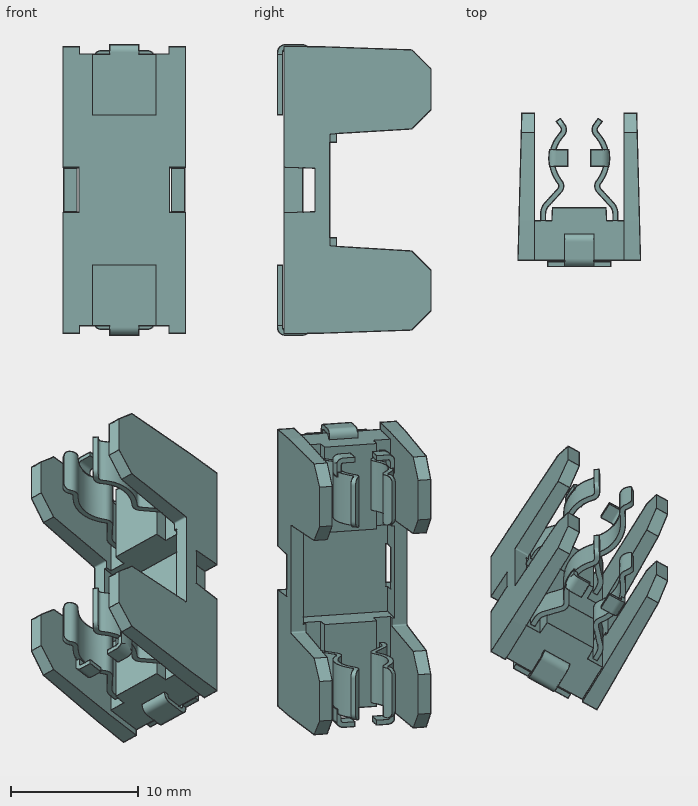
import math

import cadquery as cq


housing_width = 9.6
wall_top_width = 9.0
housing_depth = 11.5
housing_half_length = 11.2
wall_inner_x = 3.48
end_straight_depth = 3.1
outer_lean = math.radians(2.0)
inner_lean = math.radians(3.5)
corner_chamfer = 1.5
wing_inner_z = 4.37
middle_wall_depth = 3.6
wing_root_radius = 0.13

base_half_length = 10.63
base_depth = end_straight_depth
block_inner_z = 3.72
block_depth = 4.12
block_half_width_top = 2.1
block_half_width_foot = 2.15

floor_depth = 1.48
cavity_half_width = 3.69
window_depth = 2.42
window_inner_x = 3.55
window_half_length_outer = 1.78
window_half_length_inner = 1.69

sheet = 0.4
bend_radius = 0.6
pad_gap = 0.1
pad_outer_y = -(pad_gap + sheet)
pad_half_width = 2.475
pad_inner_z = 5.88
pad_outer_z = 10.58
strap_half_width = 1.15
strap_outer_z = 11.36
strap_end_y = 2.05
strap_root_z = 9.6

arm_inner_z = 5.78
arm_outer_z = 9.8
arm_tip_radius = 0.55
arm_root_y = 2.0
bulge_radius = 2.8
arm_path = [
    (2.82, arm_root_y, 0),
    (2.82, 4.06, 1.0),
    (1.27, 5.75, 0.5),
    (2.83, 8.04, bulge_radius),
    (1.07, 10.2, 0.5),
    (1.64, 10.98, 0),
]

finger_center_y = 8.0
finger_width = 1.3
finger_outer_x = 2.39
finger_inner_x = 0.88
finger_outer_z = 10.9

diagonal = math.sqrt(0.5)


def box(x0, x1, y0, y1, z0, z1):
    """Box between two opposite corners."""
    return cq.Workplane("XY").box(x1 - x0, y1 - y0, z1 - z0, centered=False).translate((x0, y0, z0))


def mirrored(body, plane):
    """The body together with its mirror image."""
    return body.union(body.mirror(plane))


def make_walls():
    """Two tapered side walls, each with a wing at both ends."""
    shoulder_y = housing_depth - corner_chamfer
    outer_z = housing_half_length - (shoulder_y - end_straight_depth) * math.tan(outer_lean)
    inner_z = wing_inner_z + (shoulder_y - middle_wall_depth) * math.tan(inner_lean)
    upper = [
        (0, housing_half_length),
        (end_straight_depth, housing_half_length),
        (shoulder_y, outer_z),
        (housing_depth, outer_z - corner_chamfer),
        (housing_depth, inner_z + corner_chamfer),
        (shoulder_y, inner_z),
        (middle_wall_depth, wing_inner_z),
    ]
    lower = [(y, -z) for y, z in reversed(upper)]
    side = (
        cq.Workplane("YZ").polyline(upper + lower).close()
        .extrude(housing_width / 2, both=True)
    )
    around_roots = cq.selectors.BoxSelector(
        (-housing_width, middle_wall_depth - wing_root_radius, -wing_inner_z - wing_root_radius),
        (housing_width, middle_wall_depth + wing_root_radius, wing_inner_z + wing_root_radius),
    )
    side = side.edges("|X").edges(around_roots).fillet(wing_root_radius)
    section = (
        cq.Workplane("XY", origin=(0, 0, -housing_half_length))
        .polyline([
            (wall_inner_x, 0),
            (housing_width / 2, 0),
            (wall_top_width / 2, housing_depth),
            (wall_inner_x, housing_depth),
        ]).close()
        .extrude(2 * housing_half_length)
    )
    return side.intersect(mirrored(section, "YZ"))


def make_base():
    """Base slab between the walls with a raised block at each end."""
    slab = box(-wall_inner_x, wall_inner_x, 0, base_depth, -base_half_length, base_half_length)
    block = (
        cq.Workplane("XY", origin=(0, 0, block_inner_z))
        .polyline([
            (-block_half_width_foot, floor_depth),
            (block_half_width_foot, floor_depth),
            (block_half_width_foot, base_depth),
            (block_half_width_top, block_depth),
            (-block_half_width_top, block_depth),
            (-block_half_width_foot, base_depth),
        ]).close()
        .extrude(base_half_length - block_inner_z)
    )
    return slab.union(mirrored(block, "XY"))


def make_middle_cavity():
    """Open recess above the thin middle floor, slightly wider than the wall spacing."""
    return box(-cavity_half_width, cavity_half_width, floor_depth, housing_depth,
               -block_inner_z, block_inner_z)


def make_windows():
    """Drafted notches through the side walls, open at the mounting face."""
    window = (
        cq.Workplane("YZ", origin=(window_inner_x, 0, 0))
        .polyline([
            (0, -window_half_length_outer),
            (window_depth, -window_half_length_inner),
            (window_depth, window_half_length_inner),
            (0, window_half_length_outer),
        ]).close()
        .extrude(housing_width / 2 - window_inner_x)
    )
    return mirrored(window, "YZ")


def centreline(corners):
    """Wire through (x, y, bend radius) corners with a tangent arc at each bend."""
    here = cq.Vector(*corners[0][:2])
    edges = []
    for (x0, y0, _), (x, y, radius), (x1, y1, _) in zip(corners, corners[1:], corners[2:]):
        corner = cq.Vector(x, y)
        back = (cq.Vector(x0, y0) - corner).normalized()
        ahead = (cq.Vector(x1, y1) - corner).normalized()
        half_angle = back.getAngle(ahead) / 2
        setback = radius / math.tan(half_angle)
        start = corner + back * setback
        end = corner + ahead * setback
        to_apex = radius / math.sin(half_angle) - radius
        apex = corner + (back + ahead).normalized() * to_apex
        edges.append(cq.Edge.makeLine(here, start))
        edges.append(cq.Edge.makeThreePointArc(start, apex, end))
        here = end
    edges.append(cq.Edge.makeLine(here, cq.Vector(*corners[-1][:2])))
    return cq.Wire.assembleEdges(edges)


def make_arm():
    """Wavy spring arm with both corners of its free end rounded."""
    root_x = arm_path[0][0]
    middle_z = (arm_inner_z + arm_outer_z) / 2
    path = cq.Workplane(centreline(arm_path)).translate((0, 0, middle_z))
    arm = (
        cq.Workplane("XZ", origin=(root_x, arm_root_y, middle_z))
        .rect(sheet, arm_outer_z - arm_inner_z)
        .sweep(path)
    )
    tip_x, tip_y, _ = arm_path[-1]
    around_tip = cq.selectors.BoxSelector(
        (tip_x - sheet, tip_y - sheet, 0),
        (tip_x + sheet, tip_y + sheet, housing_half_length),
    )
    tip_corners = arm.edges("#Z").edges(around_tip).edges(cq.selectors.LengthNthSelector(0))
    return arm.newObject(tip_corners.vals()).fillet(arm_tip_radius)


def make_finger():
    """Stop finger rising from the arm and folded over the end of the fuse."""
    inner_radius = bend_radius - sheet
    bend_x = finger_outer_x - bend_radius
    bend_z = finger_outer_z - bend_radius
    foot_z = arm_outer_z - sheet
    finger = (
        cq.Workplane("XZ", origin=(0, finger_center_y + finger_width / 2, 0))
        .moveTo(finger_inner_x, finger_outer_z)
        .lineTo(bend_x, finger_outer_z)
        .threePointArc((bend_x + bend_radius * diagonal, bend_z + bend_radius * diagonal),
                       (finger_outer_x, bend_z))
        .lineTo(finger_outer_x, foot_z)
        .lineTo(finger_outer_x - sheet, foot_z)
        .lineTo(finger_outer_x - sheet, bend_z)
        .threePointArc((bend_x + inner_radius * diagonal, bend_z + inner_radius * diagonal),
                       (bend_x, finger_outer_z - sheet))
        .lineTo(finger_inner_x, finger_outer_z - sheet)
        .close()
        .extrude(finger_width)
    )
    back_radius = bulge_radius + sheet / 2
    back = (
        cq.Workplane("XY", origin=(finger_outer_x - back_radius, finger_center_y, foot_z))
        .circle(back_radius)
        .extrude(finger_outer_z - foot_z)
    )
    return finger.intersect(back)


def make_strap():
    """U-shaped strap from the pad, around the end of the base and back into it."""
    inner_radius = bend_radius - sheet
    bend_z = strap_outer_z - bend_radius
    pad_bend_y = pad_outer_y + bend_radius
    base_bend_y = strap_end_y - bend_radius
    pad_inner_y = pad_outer_y + sheet

    def bend_middle(center_y, direction, radius):
        return (center_y + direction * radius * diagonal, bend_z + radius * diagonal)

    return (
        cq.Workplane("YZ")
        .moveTo(pad_outer_y, pad_inner_z)
        .lineTo(pad_outer_y, bend_z)
        .threePointArc(bend_middle(pad_bend_y, -1, bend_radius), (pad_bend_y, strap_outer_z))
        .lineTo(base_bend_y, strap_outer_z)
        .threePointArc(bend_middle(base_bend_y, 1, bend_radius), (strap_end_y, bend_z))
        .lineTo(strap_end_y, strap_root_z)
        .lineTo(strap_end_y - sheet, strap_root_z)
        .lineTo(strap_end_y - sheet, bend_z)
        .threePointArc(bend_middle(base_bend_y, 1, inner_radius), (base_bend_y, strap_outer_z - sheet))
        .lineTo(pad_bend_y, strap_outer_z - sheet)
        .threePointArc(bend_middle(pad_bend_y, -1, inner_radius), (pad_inner_y, bend_z))
        .lineTo(pad_inner_y, pad_inner_z)
        .close()
        .extrude(strap_half_width, both=True)
    )


def make_contact():
    """Upper contact: solder pad, strap, two spring arms and their stop fingers."""
    pad = box(-pad_half_width, pad_half_width, pad_outer_y, -pad_gap, pad_inner_z, pad_outer_z)
    springs = mirrored(make_arm().union(make_finger()), "YZ")
    return pad.union(make_strap()).union(springs)


housing = make_walls().union(make_base()).cut(make_middle_cavity()).cut(make_windows())
result = housing.union(mirrored(make_contact(), "XY"))